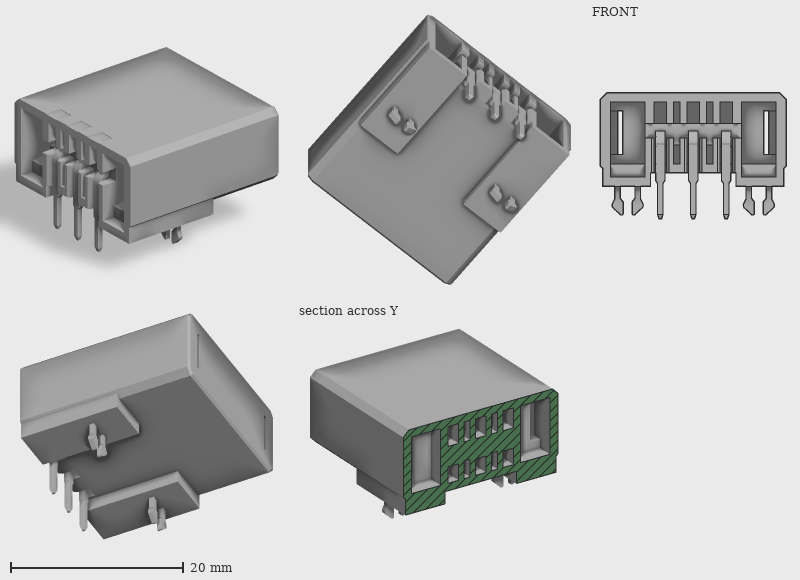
import cadquery as cq
import math


body_width = 21.61
body_length = 22.1
body_top = 10.87
body_bottom = 1.57
edge_chamfer = 0.8
rear_chamfer = 0.27

foot_inner = 4.95
foot_outer = 10.52
foot_length = 12.53

pocket_inner = 5.61
pocket_outer = 9.61
pocket_floor = 1.08
pocket_top = 9.81
pocket_depth = 4.29
ledge_front = 1.6
ledge_height = 2.59

window_inner = 8.2
slit_outer = 8.75
window_bottom = 3.71
window_top = 8.75
window_depth = 1.33

pole_pitch = 3.82
poles = 3
bay_depth = 1.95
post_top = 5.64
rib_bottom = 7.32
channel_width = 1.41
gap_width = 0.77
slot_depth = pocket_depth
channel_hole_top = 4.65
gap_hole_top = 4.82
post_chamfer_x = 0.3
post_chamfer_y = 0.4

plate_width = 2.03
plate_length = 2.03
plate_depth = 0.07

pin_front = 0.49
pin_thickness = 0.66
pin_width = 1.1
pin_tail_width = 0.66
pin_top = 6.43
pin_bottom = body_top - 14.65
pin_bend_radius = 1.5
pin_root = 0.88
shoulder_top = 0.66
shoulder_bottom = 0.35
pin_tip_length = 0.53
pin_tip_width = 0.3

lock_front = 8.2
lock_thickness = 0.6
lock_centre = (pocket_inner + pocket_outer) / 2
leg_inner = 0.85
leg_outer = 1.5
leg_root = 0.22
neck_bottom = -1.4

barb_slope_start = (1.57, -1.6)
barb_slope_end = (1.75, -1.95)
barb_outer = 1.81
barb_widest = -2.2
barb_taper_start = (1.7, -2.5)
barb_taper_end = (0.88, -3.25)
barb_tip = (0.69, -3.34)
barb_inner = 0.5
barb_flat_bottom = -3.14
barb_flat_top = -1.81

pole_places = [pole_pitch * (i - (poles - 1) / 2) for i in range(poles)]
gap_places = [(a + b) / 2 for a, b in zip(pole_places, pole_places[1:])]


def box(x0, x1, y0, y1, z0, z1):
    """Block between two opposite corners."""
    return cq.Workplane("XY").box(x1 - x0, y1 - y0, z1 - z0, centered=False).translate((x0, y0, z0))


def centred_box(x, width, y0, y1, z0, z1):
    """Block centred at x."""
    return box(x - width / 2, x + width / 2, y0, y1, z0, z1)


def both_sides(shape):
    """The shape together with its mirror image across the middle plane."""
    return shape.union(shape.mirror("YZ"))


def make_shell():
    shell = box(-body_width / 2, body_width / 2, 0, body_length, body_bottom, body_top)
    shell = shell.edges("|Y").chamfer(edge_chamfer)
    shell = shell.faces(">Y").chamfer(rear_chamfer)
    foot = box(foot_inner, foot_outer, 0, foot_length, 0, body_bottom + edge_chamfer)
    return shell.union(both_sides(foot))


def make_pockets():
    front = box(pocket_inner, pocket_outer, 0, ledge_front, pocket_floor, pocket_top)
    deep = box(pocket_inner, pocket_outer, 0, pocket_depth, ledge_height, pocket_top)
    recess_end = pocket_depth + window_depth
    recess = box(window_inner, pocket_outer, pocket_depth, recess_end, window_bottom, window_top)
    slit = box(window_inner, slit_outer, pocket_depth, body_length, window_bottom, window_top)
    return both_sides(front.union(deep).union(recess).union(slit))


def make_channel(x):
    """Channel around one pin, open at the bottom and flared at the front."""
    half = channel_width / 2
    channel = (
        cq.Workplane("XY", origin=(x, 0, body_bottom))
        .polyline([
            (-half - post_chamfer_x, 0),
            (half + post_chamfer_x, 0),
            (half, post_chamfer_y),
            (half, bay_depth),
            (-half, bay_depth),
            (-half, post_chamfer_y),
        ])
        .close()
        .extrude(post_top - body_bottom)
    )
    hole = centred_box(x, channel_width, bay_depth, slot_depth, ledge_height, channel_hole_top)
    upper_slot = centred_box(x, channel_width, 0, slot_depth, rib_bottom, pocket_top)
    return channel.union(hole).union(upper_slot)


def make_gap(x):
    """Narrow slot in the post between two pins."""
    slot = centred_box(x, gap_width, 0, bay_depth, ledge_height, post_top)
    hole = centred_box(x, gap_width, bay_depth, slot_depth, ledge_height, gap_hole_top)
    upper_slot = centred_box(x, gap_width, 0, slot_depth, rib_bottom, pocket_top)
    return slot.union(hole).union(upper_slot)


def make_pin(x):
    """Pin that leaves the bay wall level, bends down and ends in a pointed tail."""
    bend_start = pin_top - pin_bend_radius
    inner_radius = pin_bend_radius - pin_thickness
    bend_centre = pin_front + pin_bend_radius
    pin_back = pin_front + pin_thickness
    bend_reach = math.sqrt(0.5)
    outer_mid = (bend_centre - pin_bend_radius * bend_reach, bend_start + pin_bend_radius * bend_reach)
    inner_mid = (bend_centre - inner_radius * bend_reach, bend_start + inner_radius * bend_reach)
    root_end = bay_depth + pin_root
    tip_start = pin_bottom + pin_tip_length
    tip_inset = (pin_thickness - pin_tip_width) / 2
    side = (
        cq.Workplane("YZ")
        .moveTo(root_end, pin_top)
        .lineTo(bend_centre, pin_top)
        .threePointArc(outer_mid, (pin_front, bend_start))
        .lineTo(pin_front, tip_start)
        .lineTo(pin_front + tip_inset, pin_bottom)
        .lineTo(pin_back - tip_inset, pin_bottom)
        .lineTo(pin_back, tip_start)
        .lineTo(pin_back, bend_start)
        .threePointArc(inner_mid, (bend_centre, pin_top - pin_thickness))
        .lineTo(root_end, pin_top - pin_thickness)
        .close()
        .extrude(pin_width / 2, both=True)
    )
    right_edge = [
        (pin_width / 2, pin_top),
        (pin_width / 2, shoulder_top),
        (pin_tail_width / 2, shoulder_bottom),
        (pin_tail_width / 2, tip_start),
        (pin_tip_width / 2, pin_bottom),
    ]
    left_edge = [(-across, z) for across, z in reversed(right_edge)]
    front = cq.Workplane("XZ").polyline(right_edge + left_edge).close().extrude(-root_end)
    return side.intersect(front).translate((x, 0, 0))


def make_lock():
    """Pair of barbed legs, mirrored about the middle of the foot."""
    leg = (
        cq.Workplane("XZ")
        .moveTo(leg_inner, leg_root)
        .lineTo(leg_outer, leg_root)
        .lineTo(leg_outer, neck_bottom)
        .tangentArcPoint(barb_slope_start, relative=False)
        .lineTo(*barb_slope_end)
        .threePointArc((barb_outer, barb_widest), barb_taper_start)
        .lineTo(*barb_taper_end)
        .threePointArc(barb_tip, (barb_inner, barb_flat_bottom))
        .lineTo(barb_inner, barb_flat_top)
        .lineTo(leg_inner, neck_bottom)
        .close()
        .extrude(-lock_thickness)
    )
    return both_sides(leg).translate((lock_centre, lock_front, 0))


housing = make_shell().cut(make_pockets())

housing = housing.cut(box(-pocket_inner, pocket_inner, 0, bay_depth, post_top, rib_bottom))

for place in pole_places:
    housing = housing.cut(make_channel(place))
    plate = centred_box(place, plate_width, 0, plate_length, body_top - plate_depth, body_top)
    housing = housing.cut(plate)
for place in gap_places:
    housing = housing.cut(make_gap(place))

result = housing.union(both_sides(make_lock()))
for place in pole_places:
    result = result.union(make_pin(place))